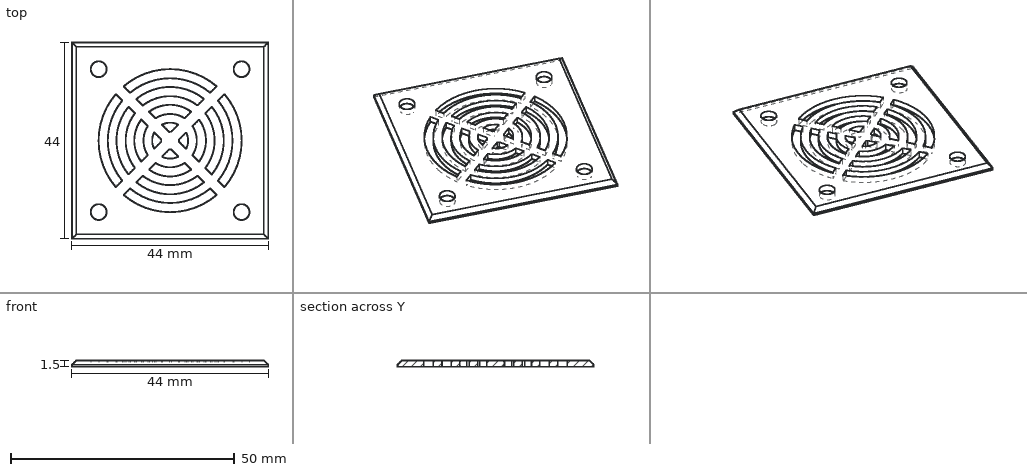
import cadquery as cq

plate_side = 44.0
plate_thickness = 1.5
bevel = 1.0

mount_hole_diameter = 3.5
mount_hole_spacing = 32.0

grille_radius = 16.0
ring_width = 2.0
ring_pitch = 2 * ring_width
open_ring_count = 4

spoke_width = 2.5
spoke_angles = (45.0, -45.0)


def make_plate():
    plate = cq.Workplane("XY").rect(plate_side, plate_side).extrude(plate_thickness)
    return plate.faces(">Z").chamfer(bevel)


def make_mount_holes():
    holes = cq.Workplane("XY").rect(mount_hole_spacing, mount_hole_spacing, forConstruction=True)
    return holes.vertices().circle(mount_hole_diameter / 2).extrude(plate_thickness)


def make_spoke(angle):
    spoke_length = 2 * (grille_radius + ring_width)
    spoke = cq.Workplane("XY").rect(spoke_length, spoke_width).extrude(plate_thickness)
    return spoke.rotate((0, 0, 0), (0, 0, 1), angle)


def make_open_ring(index):
    outer_radius = grille_radius - index * ring_pitch
    inner_radius = outer_radius - ring_width
    return cq.Workplane("XY").circle(outer_radius).circle(inner_radius).extrude(plate_thickness)


def make_grille_openings():
    openings = make_open_ring(0)
    for index in range(1, open_ring_count):
        openings = openings.union(make_open_ring(index))
    for angle in spoke_angles:
        openings = openings.cut(make_spoke(angle))
    return openings


result = make_plate().cut(make_mount_holes()).cut(make_grille_openings())